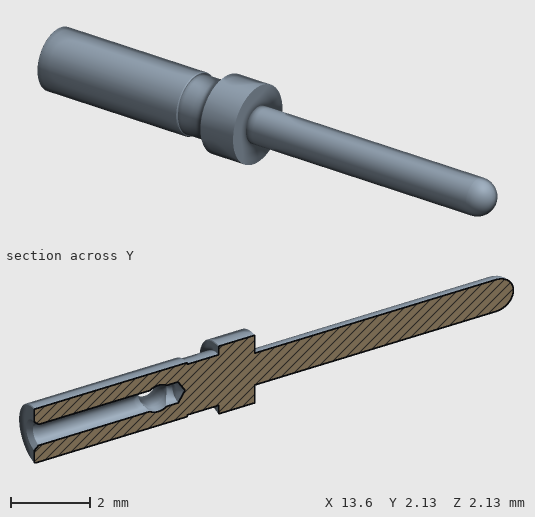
import cadquery as cq
import math

total_length = 13.64
barrel_diameter = 1.7
barrel_length = 4.36
neck_diameter = 1.6
collar_diameter = 2.13
collar_start = 5.24
collar_end = 6.27
edge_chamfer = 0.02
pin_diameter = 1.01

bore_diameter = 0.64
bore_depth = 4.09
bore_mouth_diameter = 0.89
lead_in_depth = (bore_mouth_diameter - bore_diameter) / 2
drill_point_angle = 118.0

inspection_hole_diameter = 0.8
inspection_hole_x = 3.53


def make_body():
    barrel_radius = barrel_diameter / 2
    neck_radius = neck_diameter / 2
    collar_radius = collar_diameter / 2
    pin_radius = pin_diameter / 2
    tip_start = total_length - pin_radius
    arc_offset = pin_radius * math.sqrt(0.5)
    return (
        cq.Workplane("XY")
        .lineTo(0, barrel_radius - edge_chamfer)
        .lineTo(edge_chamfer, barrel_radius)
        .lineTo(barrel_length - edge_chamfer, barrel_radius)
        .lineTo(barrel_length, barrel_radius - edge_chamfer)
        .lineTo(barrel_length, neck_radius)
        .lineTo(collar_start, neck_radius)
        .lineTo(collar_start, collar_radius - edge_chamfer)
        .lineTo(collar_start + edge_chamfer, collar_radius)
        .lineTo(collar_end, collar_radius)
        .lineTo(collar_end, pin_radius)
        .lineTo(tip_start, pin_radius)
        .threePointArc((tip_start + arc_offset, arc_offset), (total_length, 0))
        .close()
        .revolve(360, (0, 0, 0), (1, 0, 0))
    )


def make_wire_bore():
    bore_radius = bore_diameter / 2
    point_depth = bore_radius / math.tan(math.radians(drill_point_angle / 2))
    return (
        cq.Workplane("XY")
        .lineTo(0, bore_mouth_diameter / 2)
        .lineTo(lead_in_depth, bore_radius)
        .lineTo(bore_depth, bore_radius)
        .lineTo(bore_depth + point_depth, 0)
        .close()
        .revolve(360, (0, 0, 0), (1, 0, 0))
    )


def make_inspection_hole():
    return cq.Workplane(
        cq.Solid.makeCylinder(
            inspection_hole_diameter / 2,
            barrel_diameter,
            cq.Vector(inspection_hole_x, 0, 0),
            cq.Vector(0, 1, 0),
        )
    )


result = make_body().cut(make_wire_bore()).cut(make_inspection_hole())